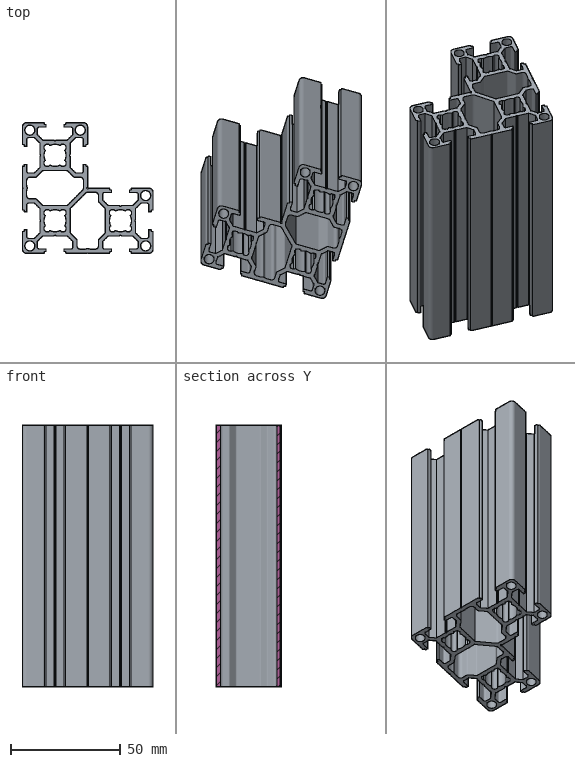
import cadquery as cq
import math


length = 120.0
cell = 30.0
side = 2 * cell
corner_radius = 2.0
wall = 2.0

near = cell / 2
far = cell + near
corner_center = (near, near)
upper_center = (near, far)
right_center = (far, near)

lip = 2.1
slot_half_mouth = 4.1
mouth_step = 0.8
slot_half_width = 8.1
slot_depth = 8.0
slot_bevel = 2.5
slot_fillet = 0.8
lip_fillet = 0.4

slot_groove_half_width = 0.5
slot_groove_root_half_width = 0.15
wall_groove_half_width = 0.3
groove_depth = 0.3

core_half = 5.0
core_corner_start = 3.0
core_ridge = 2.3
core_fillet = 1.2

corner_hole_diameter = 4.5
corner_hole_inset = (near - slot_half_width) / 2

chamber_half_width = cell - (near + slot_half_width) - wall
chamber_fillet = 1.5
chamber_bevel_fillet = 0.8
chamber_rib_half_width = 1.3
chamber_rib_height = 0.3
relief_radius = 0.4

LEFT, BOTTOM, RIGHT, TOP = 180, 270, 0, 90


def prism(points):
    """Extrude a closed polygon over the full length."""
    return cq.Workplane("XY").polyline(points).close().extrude(length)


def place(shape, center, angle):
    """Turn a shape made about the origin by an angle, then move it to a cell centre."""
    turned = shape.rotate((0, 0, 0), (0, 0, 1), angle)
    return turned.translate((center[0], center[1], 0))


def mirror_diagonal(shape):
    """Swap X and Y, reflecting a shape in the diagonal of the L."""
    return shape.mirror((1, -1, 0))


def edge_at(x, y):
    """Select the lengthwise edge through a point of the cross-section."""
    return cq.selectors.NearestToPointSelector((x, y, length / 2))


def body():
    """Solid L with rounded free corners and a relief at the inner corner."""
    solid = prism([(0, 0), (side, 0), (side, cell), (cell, cell), (cell, side), (0, side)])
    for corner in ((0, 0), (side, 0), (side, cell), (cell, side), (0, side)):
        solid = solid.edges(edge_at(*corner)).fillet(corner_radius)
    return solid.cut(cq.Workplane("XY").center(cell, cell).circle(relief_radius).extrude(length))


def slot():
    """T-slot open towards +X of a cell centred on the origin."""
    face = cell / 2
    ledge = face - mouth_step
    back = face - lip
    floor = face - slot_depth
    outer_half_mouth = slot_half_mouth + mouth_step
    upper_half = [
        (face, outer_half_mouth),
        (ledge, outer_half_mouth),
        (ledge, slot_half_mouth),
        (back, slot_half_mouth),
        (back, slot_half_width),
        (floor + slot_bevel, slot_half_width),
        (floor, slot_half_width - slot_bevel),
        (floor, slot_groove_half_width),
        (floor - groove_depth, slot_groove_root_half_width),
    ]
    lower_half = [(x, -y) for x, y in reversed(upper_half)]
    cutter = prism(upper_half + lower_half)
    for sign in (1, -1):
        cutter = cutter.edges(edge_at(back, sign * slot_half_width)).fillet(slot_fillet)
        cutter = cutter.edges(edge_at(ledge, sign * slot_half_mouth)).fillet(lip_fillet)
        rounding = lip_rounding(face, outer_half_mouth)
        cutter = cutter.union(rounding if sign > 0 else rounding.mirror("XZ"))
    return cutter


def lip_rounding(x, y):
    """Sliver that rounds the outer edge of a lip whose square corner is at x, y."""
    return (
        cq.Workplane("XY")
        .moveTo(x, y)
        .lineTo(x, y + lip_fillet)
        .radiusArc((x - lip_fillet, y), lip_fillet)
        .close()
        .extrude(length)
    )


def core():
    """Core bore of a cell centred on the origin."""
    ridge_depth = math.sqrt(core_half**2 - core_ridge**2)
    bore = cq.Workplane("XY").circle(core_half).extrude(length)
    corner = (
        prism([
            (0, 0),
            (ridge_depth, core_ridge),
            (core_half, core_corner_start),
            (core_half, core_half),
            (core_corner_start, core_half),
            (core_ridge, ridge_depth),
        ])
        .edges(edge_at(core_half, core_half))
        .fillet(core_fillet)
    )
    for angle in (0, 90, 180, 270):
        bore = bore.union(corner.rotate((0, 0, 0), (0, 0, 1), angle))
    return bore


def chamber():
    """Chamber between the corner cell and the upper cell, with a rib on its outer wall."""
    low = cell - chamber_half_width
    high = cell + chamber_half_width
    core_low = cell - slot_depth
    core_high = cell + slot_depth
    slot_bevel_sum = slot_depth + near + slot_half_width - slot_bevel
    bevel_sum = slot_bevel_sum + wall * math.sqrt(2)
    inner_wall = cell - wall
    web_offset = wall / math.sqrt(2)
    bevel_start = bevel_sum - low
    bevel_end = bevel_sum - core_low
    wall_corners = [
        (wall, low),
        (wall, high),
        (inner_wall, high),
        (inner_wall, inner_wall + web_offset),
    ]
    bevel_corners = [
        (bevel_start, low),
        (bevel_end, core_low),
        (bevel_start, high),
        (bevel_end, core_high),
        (cell - bevel_start, high),
        (cell - bevel_end, core_high),
    ]
    hollow = prism([
        (wall, low),
        (bevel_start, low),
        (bevel_end, core_low),
        (core_low - web_offset, core_low),
        (inner_wall, inner_wall + web_offset),
        (inner_wall, high),
        (cell - bevel_start, high),
        (cell - bevel_end, core_high),
        (bevel_end, core_high),
        (bevel_start, high),
        (wall, high),
    ])
    for corner in wall_corners:
        hollow = hollow.edges(edge_at(*corner)).fillet(chamber_fillet)
    for corner in bevel_corners:
        hollow = hollow.edges(edge_at(*corner)).fillet(chamber_bevel_fillet)
    rib = prism([
        (wall, cell - chamber_rib_half_width),
        (wall + chamber_rib_height, cell),
        (wall, cell + chamber_rib_half_width),
    ])
    return hollow.cut(rib)


def wall_groove():
    """Marking groove in the outer face X = 0, where two cells meet."""
    return prism([
        (0, cell - wall_groove_half_width),
        (groove_depth, cell),
        (0, cell + wall_groove_half_width),
    ])


def corner_hole(center):
    """Round hole along the profile."""
    return cq.Workplane("XY").center(*center).circle(corner_hole_diameter / 2).extrude(length)


result = body()

for center, angle in (
    (corner_center, LEFT),
    (corner_center, BOTTOM),
    (upper_center, LEFT),
    (upper_center, TOP),
    (upper_center, RIGHT),
    (right_center, BOTTOM),
    (right_center, RIGHT),
    (right_center, TOP),
):
    result = result.cut(place(slot(), center, angle))

for feature in (chamber(), wall_groove()):
    result = result.cut(feature).cut(mirror_diagonal(feature))

for center in (corner_center, upper_center, right_center):
    result = result.cut(place(core(), center, 0))

hole_far = side - corner_hole_inset
hole_mid = cell - corner_hole_inset
for center in (
    (corner_hole_inset, corner_hole_inset),
    (corner_hole_inset, hole_far),
    (hole_mid, hole_far),
    (hole_far, corner_hole_inset),
    (hole_far, hole_mid),
):
    result = result.cut(corner_hole(center))